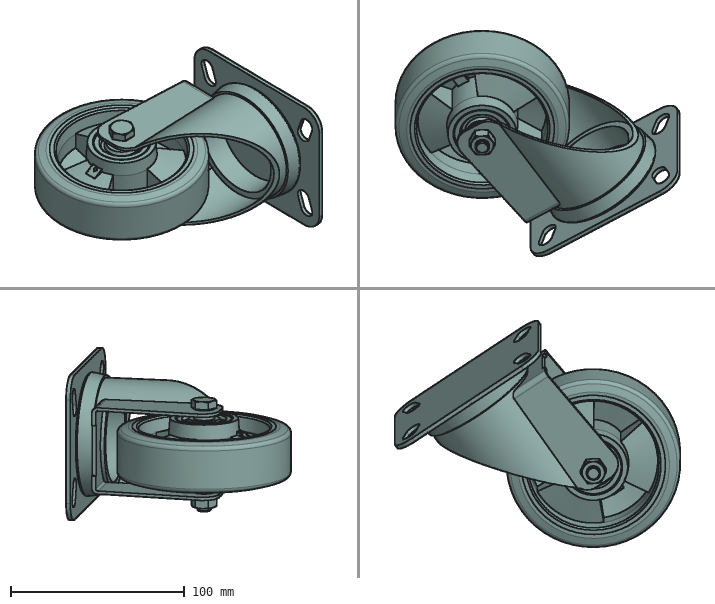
import cadquery as cq
import math


WHEEL_D = 100.0
TYRE_BORE_D = 82.9
WHEEL_HALF_WIDTH = 15.0
TREAD_HALF_WIDTH = 11.2
SHOULDER_R = 48.0
SHOULDER_HALF_WIDTH = 13.6
SIDE_FACE_R = 43.6
SHOULDER_ARC_R = 2.5

RIM_MOUTH_R = 38.9
RIM_CHAMFER = 1.1
RIM_INNER_R = 37.0
HUB_HALF_WIDTH = 20.0
HUB_END_R = 19.7
HUB_ROOT_R = 20.4
WEB_ROOT_Z = 11.5
WEB_RIM_Z = 6.2
WEB_THICKNESS = 2.2
SECTOR_ANGLE = 60
RADIAL_WALL_ANGLE = 5
WEB_OVERLAP = 1.4
BORE_CHAMFER = 0.7

BOSS_WIDTH = 7.2
BOSS_INNER_Z = 13.5
BOSS_OUTER_R = 25.9
BOSS_OUTER_Z = 9.7
BOSS_HOLE_D = 2.0
BOSS_HOLE_R = 21.7
BOSS_HOLE_DEPTH = 2.7

BEARING_D = 32.0
BEARING_BORE_D = 12.0
BEARING_SETBACK = 0.3
OUTER_RACE_LIP_D = 25.9
OUTER_RACE_ROOT_D = 23.9
INNER_RACE_LIP_D = 18.0
INNER_RACE_ROOT_D = 20.1
SEAL_DEPTH = 2.0

PLATE_OFFSET = 35.0
PLATE_LENGTH = 100.0
PLATE_WIDTH = 85.0
PLATE_TOP_Y = 78.0
PLATE_THICKNESS = 2.5
PLATE_CORNER_R = 12.2
SLOT_LENGTH = 16.9
SLOT_WIDTH = 9.0
SLOT_X = 38.6
SLOT_Z = 26.5
SLOT_TILT = 18.5
NECK_D = 70.0
HEAD_TOP_Y = 74.5

HEAD_TOP_D = 71.5
HEAD_BOTTOM_D = 68.8
HEAD_BOTTOM_Y = 65.9
TUBE_D = 66.0
TUBE_BORE_D = 62.0
LEG_OUTER_Z = 25.4
LEG_THICKNESS = 1.9
CROWN_TOP_Y = 64.0
CROWN_THICKNESS = 2.3
CROWN_OUTER_BEND_R = 3.4
CROWN_INNER_BEND_R = 1.5
NOTCH_HALF_WIDTH = 14.8
NOTCH_DEPTH = 1.6
COLLAR_BORE_D = 54.0
COLLAR_BOTTOM_Y = 59.4
LEG_TOP_X = -9.9
LEG_END_X = -16.0
LEG_END_Y = -9.9
LEG_END_R = 9.9
SLANT_END_X = 8.6
SLANT_TOP_Y = 60.2

BOLT_D = 8.0
BOLT_TIP_D = 6.6
BOLT_END_Z = -34.4
HEX_WIDTH = 13.0
WASHER_FACE_D = 11.5
WASHER_FACE_HEIGHT = 0.7
HEAD_HEIGHT = 4.7
NUT_HEIGHT = 6.6
HEX_CHAMFER_SLOPE = math.tan(math.radians(30))

LEG_INNER_Z = LEG_OUTER_Z - LEG_THICKNESS
CROWN_BOTTOM_Y = CROWN_TOP_Y - CROWN_THICKNESS


def turned(profile, angle=360):
    """Solid turned about Z from (radius, z) points."""
    return cq.Workplane("XZ").polyline(profile).close().revolve(angle, (0, 0), (0, 1))


def disc(diameter, bottom_y, top_y):
    """Cylinder on the swivel axis between two heights."""
    return (
        cq.Workplane("XZ", origin=(PLATE_OFFSET, bottom_y, 0))
        .circle(diameter / 2)
        .extrude(bottom_y - top_y)
    )


def hexagon(bottom_z, height):
    """Hexagonal prism about Z with corners toward +Y and -Y."""
    corner_d = HEX_WIDTH / math.cos(math.pi / 6)
    prism = cq.Workplane("XY").polygon(6, corner_d).extrude(height)
    return prism.rotate((0, 0, 0), (0, 0, 1), 30).translate((0, 0, bottom_z))


def chamfer_cone(face_z, inward):
    """Turned blank that chamfers the hexagon corners at face_z; inward (+1 or -1) points into the part."""
    face_r = HEX_WIDTH / 2
    blank_r = HEX_WIDTH
    depth = (blank_r - face_r) * HEX_CHAMFER_SLOPE
    far_z = face_z + inward * 2 * HEX_WIDTH
    return turned(
        [(0, face_z), (face_r, face_z), (blank_r, face_z + inward * depth), (blank_r, far_z), (0, far_z)]
    )


def make_tyre():
    tread_r = WHEEL_D / 2
    bore_r = TYRE_BORE_D / 2
    return (
        cq.Workplane("XZ")
        .moveTo(bore_r, -WHEEL_HALF_WIDTH)
        .lineTo(SIDE_FACE_R, -WHEEL_HALF_WIDTH)
        .lineTo(SHOULDER_R, -SHOULDER_HALF_WIDTH)
        .radiusArc((tread_r, -TREAD_HALF_WIDTH), -SHOULDER_ARC_R)
        .lineTo(tread_r, TREAD_HALF_WIDTH)
        .radiusArc((SHOULDER_R, SHOULDER_HALF_WIDTH), -SHOULDER_ARC_R)
        .lineTo(SIDE_FACE_R, WHEEL_HALF_WIDTH)
        .lineTo(bore_r, WHEEL_HALF_WIDTH)
        .close()
        .revolve(360, (0, 0), (0, 1))
    )


def web_height(radius):
    """Height of a raised web face at a radius."""
    slope = (WEB_ROOT_Z - WEB_RIM_Z) / (RIM_INNER_R - HUB_ROOT_R)
    return WEB_ROOT_Z - slope * (radius - HUB_ROOT_R)


def web_sector(start_angle):
    """Raised web sector with its two radial walls, running into the hub and the rim ring."""
    inner_r = HUB_ROOT_R - WEB_OVERLAP
    outer_r = RIM_INNER_R + WEB_OVERLAP
    inner_z = web_height(inner_r)
    outer_z = web_height(outer_r)
    block = [(inner_r, -inner_z), (inner_r, inner_z), (outer_r, outer_z), (outer_r, -outer_z)]
    under = [
        (inner_r, -HUB_HALF_WIDTH),
        (inner_r, inner_z - WEB_THICKNESS),
        (outer_r, outer_z - WEB_THICKNESS),
        (outer_r, -HUB_HALF_WIDTH),
    ]
    pocket_angle = SECTOR_ANGLE - 2 * RADIAL_WALL_ANGLE
    pocket = turned(under, pocket_angle).rotate((0, 0, 0), (0, 0, 1), RADIAL_WALL_ANGLE)
    return turned(block, SECTOR_ANGLE).cut(pocket).rotate((0, 0, 0), (0, 0, 1), start_angle)


def lowered_web_sector(start_angle):
    """Thin web sector whose lower face mirrors the raised web face."""
    inner_r = HUB_ROOT_R - WEB_OVERLAP
    outer_r = RIM_INNER_R + WEB_OVERLAP
    inner_z = -web_height(inner_r)
    outer_z = -web_height(outer_r)
    sheet = [
        (inner_r, inner_z),
        (inner_r, inner_z + WEB_THICKNESS),
        (outer_r, outer_z + WEB_THICKNESS),
        (outer_r, outer_z),
    ]
    return turned(sheet, SECTOR_ANGLE).rotate((0, 0, 0), (0, 0, 1), start_angle)


def lubrication_boss():
    root_r = HUB_END_R - 1.4
    slope = (BOSS_INNER_Z - BOSS_OUTER_Z) / (BOSS_OUTER_R - HUB_END_R)
    root_z = BOSS_INNER_Z + slope * (HUB_END_R - root_r)
    floor_z = WEB_RIM_Z
    return (
        cq.Workplane("YZ")
        .polyline(
            [(-root_r, floor_z), (-BOSS_OUTER_R, floor_z), (-BOSS_OUTER_R, BOSS_OUTER_Z), (-root_r, root_z)]
        )
        .close()
        .extrude(BOSS_WIDTH / 2, both=True)
    )


def hub_ring():
    bore_r = BEARING_D / 2
    mouth_r = bore_r + BORE_CHAMFER
    upper = [
        (HUB_ROOT_R, WEB_ROOT_Z),
        (HUB_END_R, HUB_HALF_WIDTH),
        (mouth_r, HUB_HALF_WIDTH),
        (bore_r, HUB_HALF_WIDTH - BORE_CHAMFER),
    ]
    lower = [(r, -z) for r, z in reversed(upper)]
    return turned(upper + lower)


def rim_ring():
    outer_r = TYRE_BORE_D / 2
    upper = [
        (RIM_INNER_R, WEB_RIM_Z),
        (RIM_MOUTH_R - RIM_CHAMFER, WHEEL_HALF_WIDTH - RIM_CHAMFER),
        (RIM_MOUTH_R, WHEEL_HALF_WIDTH),
        (outer_r, WHEEL_HALF_WIDTH),
    ]
    lower = [(r, -z) for r, z in reversed(upper)]
    return turned(upper + lower)


def make_rim():
    rim = hub_ring().union(rim_ring())
    for raised_start in range(0, 360, 2 * SECTOR_ANGLE):
        rim = rim.union(web_sector(raised_start))
        rim = rim.union(lowered_web_sector(raised_start + SECTOR_ANGLE))
    rim = rim.union(lubrication_boss())
    hole = (
        cq.Workplane("XY", origin=(0, -BOSS_HOLE_R, BOSS_INNER_Z))
        .circle(BOSS_HOLE_D / 2)
        .extrude(-BOSS_HOLE_DEPTH)
    )
    return rim.cut(hole)


def make_bearing():
    end_z = HUB_HALF_WIDTH - BEARING_SETBACK
    seal_z = end_z - SEAL_DEPTH
    upper = [
        (BEARING_BORE_D / 2, end_z),
        (INNER_RACE_LIP_D / 2, end_z),
        (INNER_RACE_ROOT_D / 2, seal_z),
        (OUTER_RACE_ROOT_D / 2, seal_z),
        (OUTER_RACE_LIP_D / 2, end_z),
        (BEARING_D / 2, end_z),
    ]
    lower = [(r, -z) for r, z in reversed(upper)]
    return turned(upper + lower)


def make_sleeve():
    return (
        cq.Workplane("XY", origin=(0, 0, -LEG_INNER_Z))
        .circle(BEARING_BORE_D / 2)
        .circle(BOLT_D / 2)
        .extrude(2 * LEG_INNER_Z)
    )


def make_bolt():
    tip_chamfer = (BOLT_D - BOLT_TIP_D) / 2
    shank = turned(
        [
            (0, BOLT_END_Z),
            (BOLT_TIP_D / 2, BOLT_END_Z),
            (BOLT_D / 2, BOLT_END_Z + tip_chamfer),
            (BOLT_D / 2, LEG_OUTER_Z),
            (WASHER_FACE_D / 2, LEG_OUTER_Z),
            (WASHER_FACE_D / 2, LEG_OUTER_Z + WASHER_FACE_HEIGHT),
            (0, LEG_OUTER_Z + WASHER_FACE_HEIGHT),
        ]
    )
    head_bottom = LEG_OUTER_Z + WASHER_FACE_HEIGHT
    head = hexagon(head_bottom, HEAD_HEIGHT).intersect(chamfer_cone(head_bottom + HEAD_HEIGHT, -1))
    return shank.union(head)


def make_nut():
    bottom_z = -LEG_OUTER_Z - NUT_HEIGHT
    nut = hexagon(bottom_z, NUT_HEIGHT)
    nut = nut.intersect(chamfer_cone(bottom_z, 1)).intersect(chamfer_cone(-LEG_OUTER_Z, -1))
    bore = cq.Workplane("XY", origin=(0, 0, bottom_z)).circle(BOLT_D / 2).extrude(NUT_HEIGHT)
    return nut.cut(bore)


def make_plate():
    plate = (
        cq.Workplane("XZ", origin=(PLATE_OFFSET, PLATE_TOP_Y, 0))
        .rect(PLATE_LENGTH, PLATE_WIDTH)
        .extrude(PLATE_THICKNESS)
        .edges("|Y")
        .fillet(PLATE_CORNER_R)
    )
    for side_x in (-1, 1):
        for side_z in (-1, 1):
            slot = (
                cq.Workplane("XZ", origin=(PLATE_OFFSET, PLATE_TOP_Y, 0))
                .center(side_x * SLOT_X, side_z * SLOT_Z)
                .slot2D(SLOT_LENGTH, SLOT_WIDTH, 90 - side_x * side_z * SLOT_TILT)
                .extrude(PLATE_THICKNESS)
            )
            plate = plate.cut(slot)
    return plate.union(disc(NECK_D, HEAD_TOP_Y, PLATE_TOP_Y - PLATE_THICKNESS))


def crown_block(half_width, top_y, bend_r):
    """Block from the leg edge to the swivel axis with rounded upper long edges."""
    left_x = 2 * LEG_END_X
    bottom_y = 2 * LEG_END_Y
    return (
        cq.Workplane("XY")
        .box(PLATE_OFFSET - left_x, top_y - bottom_y, 2 * half_width, centered=(False, False, True))
        .translate((left_x, bottom_y, 0))
        .edges("|X and >Y")
        .fillet(bend_r)
    )


def fork_side_outline():
    """Prism along Z holding the fork's outline seen along the wheel axle."""
    right_x = PLATE_OFFSET + TUBE_D / 2
    bend_y = CROWN_TOP_Y - CROWN_OUTER_BEND_R
    return (
        cq.Workplane("XY")
        .polyline(
            [
                (LEG_TOP_X, HEAD_BOTTOM_Y),
                (LEG_TOP_X, bend_y),
                (LEG_END_X, LEG_END_Y),
                (SLANT_END_X, LEG_END_Y),
                (right_x, SLANT_TOP_Y),
                (right_x, HEAD_BOTTOM_Y),
            ]
        )
        .close()
        .extrude(TUBE_D, both=True)
        .edges("|Z and <Y")
        .fillet(LEG_END_R)
    )


def make_fork():
    tube_bottom = 2 * LEG_END_Y
    shell = crown_block(LEG_OUTER_Z, CROWN_TOP_Y, CROWN_OUTER_BEND_R).union(
        disc(TUBE_D, tube_bottom, HEAD_BOTTOM_Y)
    )
    hollow = crown_block(LEG_INNER_Z, CROWN_BOTTOM_Y, CROWN_INNER_BEND_R).union(
        disc(TUBE_BORE_D, tube_bottom, CROWN_BOTTOM_Y)
    )
    fork = shell.cut(hollow).intersect(fork_side_outline())

    notch = cq.Workplane("XY").box(
        NOTCH_DEPTH, CROWN_THICKNESS, 2 * NOTCH_HALF_WIDTH, centered=(False, False, True)
    )
    fork = fork.cut(notch.translate((LEG_TOP_X, CROWN_BOTTOM_Y, 0)))

    head = (
        cq.Workplane("XZ", origin=(PLATE_OFFSET, HEAD_BOTTOM_Y, 0))
        .circle(HEAD_BOTTOM_D / 2)
        .workplane(offset=HEAD_BOTTOM_Y - HEAD_TOP_Y)
        .circle(HEAD_TOP_D / 2)
        .loft()
    )
    collar = disc(TUBE_BORE_D, COLLAR_BOTTOM_Y, CROWN_BOTTOM_Y)
    fork = fork.union(head).union(collar).cut(disc(COLLAR_BORE_D, COLLAR_BOTTOM_Y, HEAD_TOP_Y))
    bolt_hole = cq.Workplane("XY").circle(BOLT_D / 2).extrude(TUBE_D, both=True)
    return fork.cut(bolt_hole)


plate = make_plate()
fork = make_fork()
tyre = make_tyre()
rim = make_rim()
bearing = make_bearing()
sleeve = make_sleeve()
bolt = make_bolt()
nut = make_nut()

result = cq.Compound.makeCompound(
    [
        plate.val(),
        fork.val(),
        tyre.val(),
        rim.val(),
        bearing.val(),
        sleeve.val(),
        bolt.val(),
        nut.val(),
    ]
)